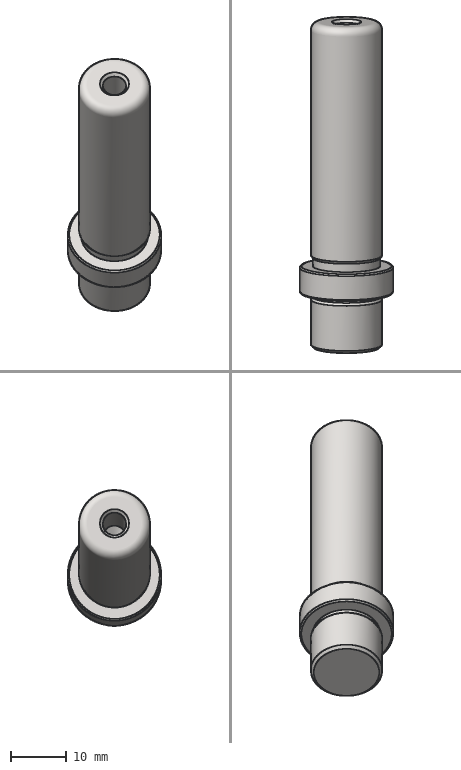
import cadquery as cq
import math

length = 60.0
shaft_diameter = 12.95
top_round = 1.5
bottom_chamfer = 0.55

collar_diameter = 17.0
collar_bottom = 10.0
collar_thickness = 5.0
collar_chamfer = 0.3

groove_depth = 0.35
groove_flank_height = 0.5
upper_groove_height = 2.0
lower_groove_height = 1.2

hole_diameter = 4.2
hole_depth = 12.0
countersink_diameter = 5.3
countersink_angle = 90.0
drill_point_angle = 118.0

shaft_radius = shaft_diameter / 2
collar_radius = collar_diameter / 2
groove_radius = shaft_radius - groove_depth
collar_top = collar_bottom + collar_thickness
lower_groove_start = collar_bottom - lower_groove_height
upper_groove_end = collar_top + upper_groove_height


def revolve_profile(profile):
    """Revolve a closed radius-height outline about the Z axis."""
    return profile.close().revolve(360, (0, 0, 0), (0, 1, 0))


def make_body():
    round_offset = top_round * math.sin(math.radians(45))
    round_middle = (
        shaft_radius - top_round + round_offset,
        length - top_round + round_offset,
    )
    profile = (
        cq.Workplane("XZ")
        .lineTo(shaft_radius - bottom_chamfer, 0)
        .lineTo(shaft_radius, bottom_chamfer)
        .lineTo(shaft_radius, lower_groove_start)
        .lineTo(groove_radius, lower_groove_start + groove_flank_height)
        .lineTo(groove_radius, collar_bottom)
        .lineTo(collar_radius - collar_chamfer, collar_bottom)
        .lineTo(collar_radius, collar_bottom + collar_chamfer)
        .lineTo(collar_radius, collar_top - collar_chamfer)
        .lineTo(collar_radius - collar_chamfer, collar_top)
        .lineTo(groove_radius, collar_top)
        .lineTo(groove_radius, upper_groove_end - groove_flank_height)
        .lineTo(shaft_radius, upper_groove_end)
        .lineTo(shaft_radius, length - top_round)
        .threePointArc(round_middle, (shaft_radius - top_round, length))
        .lineTo(0, length)
    )
    return revolve_profile(profile)


def make_hole():
    hole_radius = hole_diameter / 2
    countersink_radius = countersink_diameter / 2
    countersink_half_angle = math.radians(countersink_angle / 2)
    countersink_depth = (countersink_radius - hole_radius) / math.tan(countersink_half_angle)
    point_length = hole_radius / math.tan(math.radians(drill_point_angle / 2))
    hole_floor = length - hole_depth
    profile = (
        cq.Workplane("XZ")
        .moveTo(0, hole_floor - point_length)
        .lineTo(hole_radius, hole_floor)
        .lineTo(hole_radius, length - countersink_depth)
        .lineTo(countersink_radius, length)
        .lineTo(0, length)
    )
    return revolve_profile(profile)


result = make_body().cut(make_hole())